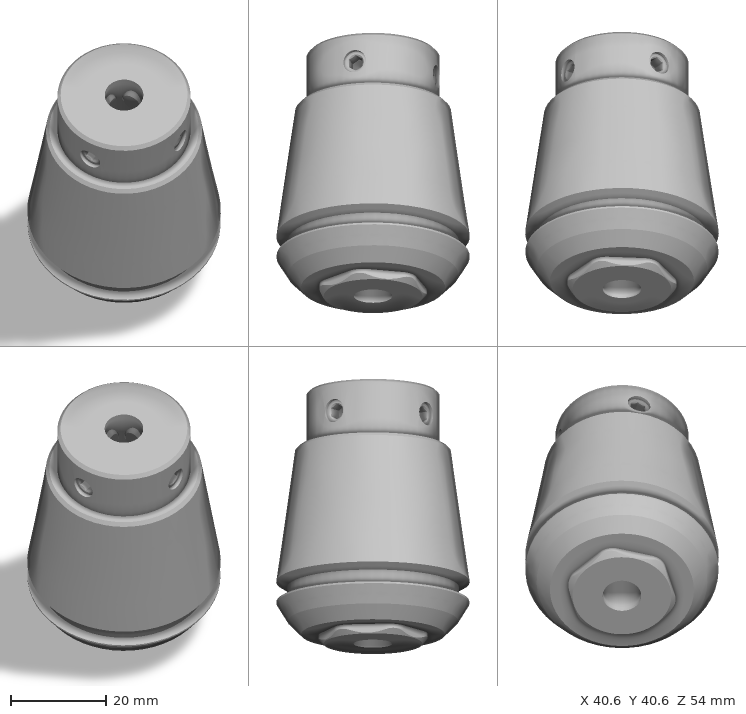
import cadquery as cq
import math

height = 54.0
body_dia = 40.65
bore_dia = 8.1
collar_dia = 28.0
collar_bottom = 42.0
edge_chamfer = 0.7
taper_top_dia = 32.8
taper_bottom = 13.3
groove_dia = 36.2
groove_top = 12.05
groove_bottom = 9.0
rim_dia = 40.55
rim_height = 0.4
lower_cone_dia = 35.85
lower_cone_height = 4.8
base_dia = 30.25
base_height = 2.0

hex_across_flats = 21.0
hex_corner_radius = 4.0
hex_bottom_dia = 20.75

screw_count = 4
screw_hole_dia = 4.9
screw_dia = 6.0
screw_length = 10.0
screw_tip_distance = 3.15
screw_tip_dia = 4.1
screw_height = 47.65
socket_across_flats = 2.95
socket_depth = 3.0
socket_mouth_dia = 3.6
countersink_angle = 90.0
drill_point_angle = 120.0


def corner_diameter(across_flats):
    return across_flats / math.cos(math.pi / 6)


def make_body():
    """Solid of revolution about Z, from the base up to the collar."""
    profile = [
        (0, base_height),
        (base_dia / 2, base_height),
        (lower_cone_dia / 2, lower_cone_height),
        (rim_dia / 2, groove_bottom - rim_height),
        (rim_dia / 2, groove_bottom),
        (groove_dia / 2, groove_bottom),
        (groove_dia / 2, groove_top),
        (body_dia / 2, taper_bottom),
        (taper_top_dia / 2, collar_bottom - edge_chamfer),
        (taper_top_dia / 2 - edge_chamfer, collar_bottom),
        (collar_dia / 2, collar_bottom),
        (collar_dia / 2, height - edge_chamfer),
        (collar_dia / 2 - edge_chamfer, height),
        (0, height),
    ]
    return cq.Workplane("XZ").polyline(profile).close().revolve(360, (0, 0), (0, 1))


def make_hex_boss():
    """Rounded hexagon whose lower rim is trimmed by a 45 degree cone."""
    boss = (
        cq.Workplane("XY")
        .polygon(6, corner_diameter(hex_across_flats))
        .extrude(base_height)
        .edges("|Z")
        .fillet(hex_corner_radius)
    )
    bottom_radius = hex_bottom_dia / 2
    trim_cone = cq.Workplane("XY").add(
        cq.Solid.makeCone(bottom_radius, bottom_radius + base_height, base_height)
    )
    return boss.intersect(trim_cone)


def make_cone(mouth_dia, angle, mouth_x):
    """Cone on the X axis with the given full angle, opening towards +X at mouth_x."""
    radius = mouth_dia / 2
    depth = radius / math.tan(math.radians(angle / 2))
    profile = [(mouth_x, 0), (mouth_x, radius), (mouth_x - depth, 0)]
    return cq.Workplane("XZ").polyline(profile).close().revolve(360, (0, 0), (1, 0))


def make_screw():
    """Set screw along +X: 45 degree tip towards the axis, hexagon socket outside."""
    tip_x = screw_tip_distance
    head_x = tip_x + screw_length
    radius = screw_dia / 2
    tip_chamfer = radius - screw_tip_dia / 2
    profile = [
        (tip_x, 0),
        (tip_x, screw_tip_dia / 2),
        (tip_x + tip_chamfer, radius),
        (head_x, radius),
        (head_x, 0),
    ]
    screw = cq.Workplane("XZ").polyline(profile).close().revolve(360, (0, 0), (1, 0))

    floor_x = head_x - socket_depth
    hexagon = (
        cq.Workplane("YZ", origin=(floor_x, 0, 0))
        .transformed(rotate=(0, 0, 90))
        .polygon(6, corner_diameter(socket_across_flats))
        .extrude(socket_depth)
    )
    countersink = make_cone(socket_mouth_dia, countersink_angle, head_x)
    drill_point = make_cone(socket_across_flats, drill_point_angle, floor_x)
    return screw.cut(hexagon).cut(countersink).cut(drill_point)


def make_screw_hole():
    """Radial hole along +X from the bore out through the collar."""
    return cq.Workplane("YZ").circle(screw_hole_dia / 2).extrude(collar_dia / 2)


result = make_body().union(make_hex_boss())
result = result.cut(cq.Workplane("XY").circle(bore_dia / 2).extrude(height))

screw_hole = make_screw_hole().translate((0, 0, screw_height))
screw = make_screw().translate((0, 0, screw_height))
for index in range(screw_count):
    angle = index * 360 / screw_count
    result = result.cut(screw_hole.rotate((0, 0, 0), (0, 0, 1), angle))
    result = result.union(screw.rotate((0, 0, 0), (0, 0, 1), angle))